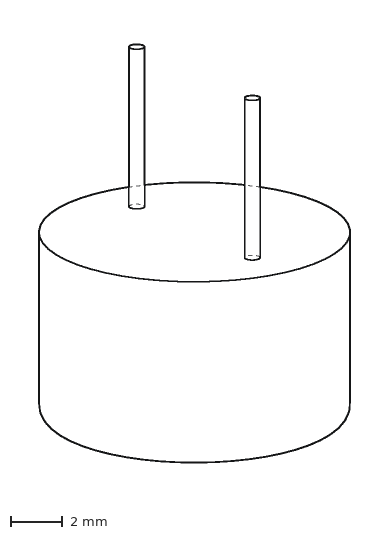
import cadquery as cq

total_height = 14.0
body_diameter = 12.0
body_height = 7.5
bottom_edge_radius = 0.5
pin_diameter = 0.6
pin_spacing = 7.6

pin_length = total_height - body_height

body = (
    cq.Workplane("XY")
    .circle(body_diameter / 2)
    .extrude(body_height)
    .faces("<Z")
    .edges()
    .fillet(bottom_edge_radius)
)

pin_centers = [(side * pin_spacing / 2, 0) for side in (-1, 1)]
result = (
    body.faces(">Z")
    .workplane(origin=(0, 0, body_height))
    .pushPoints(pin_centers)
    .circle(pin_diameter / 2)
    .extrude(pin_length)
)